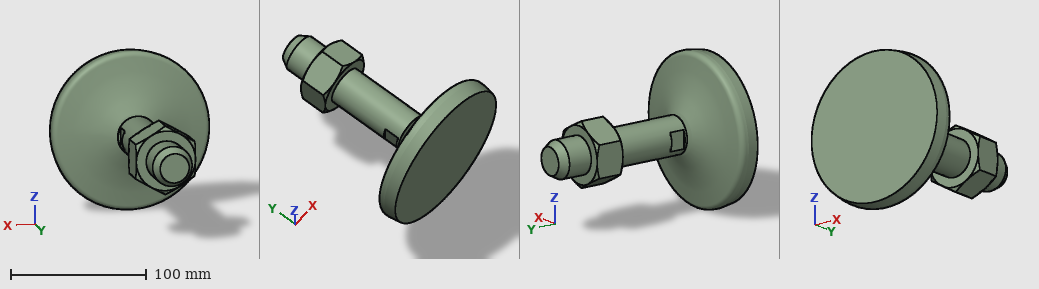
import cadquery as cq
import math

total_length = 147.0

pad_radius = 60.0
underside_radius = 58.5
taper_height = 9.3
rim_top = 11.9
rim_fillet = 4.4
flare_end_angle = math.radians(8)
crown_radius = 16.2
crown_base = 29.3
crown_top = 32.0

neck_radius = 5.0
stud_radius = 15.0
stud_start = 33.0
tip_radius = 11.0
tip_length = 7.0

flats_width = 26.0
flats_start = 34.8
flats_length = 12.2

nut_width = 45.0
nut_start = 96.7
nut_height = 23.5
nut_chamfer_angle = math.radians(30)


def pad():
    """Revolved disc with a tapered edge, a rounded rim, a hollow flare and a domed crown."""
    fillet_center = pad_radius - rim_fillet

    def fillet_point(angle):
        return (fillet_center + rim_fillet * math.cos(angle), rim_top + rim_fillet * math.sin(angle))

    fillet_sweep = math.pi / 2 - flare_end_angle
    flare_start = fillet_point(fillet_sweep)

    crown_run = crown_radius - neck_radius
    crown_rise = crown_top - crown_base
    crown_arc_radius = (crown_run**2 + crown_rise**2) / (2 * crown_rise)
    crown_middle_radius = neck_radius + crown_run / 2
    crown_arc_center = crown_top - crown_arc_radius
    crown_middle_height = crown_arc_center + math.sqrt(crown_arc_radius**2 - (crown_run / 2) ** 2)

    return (
        cq.Workplane("XY")
        .lineTo(underside_radius, 0)
        .lineTo(pad_radius, taper_height)
        .lineTo(pad_radius, rim_top)
        .threePointArc(fillet_point(fillet_sweep / 2), flare_start)
        .tangentArcPoint((crown_radius, crown_base), relative=False)
        .threePointArc((crown_middle_radius, crown_middle_height), (neck_radius, crown_top))
        .lineTo(0, crown_top)
        .close()
        .revolve(360, (0, 0, 0), (0, 1, 0))
    )


def stud():
    """Neck pin and round stud with a conical tip, cut by two wrench flats facing +X and -X."""
    neck_start = crown_base
    body = (
        cq.Workplane("XY")
        .moveTo(0, neck_start)
        .lineTo(neck_radius, neck_start)
        .lineTo(neck_radius, stud_start)
        .lineTo(stud_radius, stud_start)
        .lineTo(stud_radius, total_length - tip_length)
        .lineTo(tip_radius, total_length)
        .lineTo(0, total_length)
        .close()
        .revolve(360, (0, 0, 0), (0, 1, 0))
    )
    flat_offset = flats_width / 2 + stud_radius / 2
    for side in (-1, 1):
        cutter = cq.Workplane("XY").box(stud_radius, flats_length, 2 * stud_radius)
        body = body.cut(cutter.translate((side * flat_offset, flats_start + flats_length / 2, 0)))
    return body


def nut():
    """Hex nut with corners on +Z and -Z, both ends chamfered by a cone starting at the flats."""
    flat_radius = nut_width / 2
    corner_radius = flat_radius / math.cos(math.pi / 6)
    chamfer_height = (corner_radius - flat_radius) * math.tan(nut_chamfer_angle)
    nut_end = nut_start + nut_height

    corners = []
    for index in range(6):
        angle = math.pi / 2 + index * math.pi / 3
        corners.append((corner_radius * math.cos(angle), corner_radius * math.sin(angle)))
    prism = cq.Workplane("XZ", origin=(0, nut_start, 0)).polyline(corners).close().extrude(-nut_height)

    envelope = (
        cq.Workplane("XY")
        .moveTo(0, nut_start)
        .lineTo(flat_radius, nut_start)
        .lineTo(corner_radius, nut_start + chamfer_height)
        .lineTo(corner_radius, nut_end - chamfer_height)
        .lineTo(flat_radius, nut_end)
        .lineTo(0, nut_end)
        .close()
        .revolve(360, (0, 0, 0), (0, 1, 0))
    )
    return prism.intersect(envelope)


result = pad().union(stud()).union(nut())